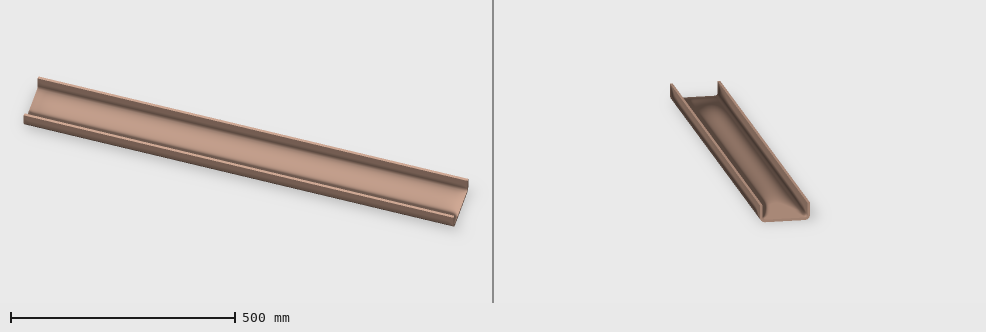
import cadquery as cq

LENGTH = 1000.0
WIDTH = 114.0
HEIGHT = 40.0
THICKNESS = 6.0
INNER_BEND_RADIUS = 6.0
OUTER_BEND_RADIUS = INNER_BEND_RADIUS + THICKNESS


def rounded_bar(width, height, bottom, corner_radius):
    """Bar along X, centred on X and Y, with its two lower long edges rounded."""
    return (
        cq.Workplane("XY")
        .box(LENGTH, width, height, centered=(True, True, False))
        .translate((0, 0, bottom))
        .edges("|X and <Z")
        .fillet(corner_radius)
    )


def channel():
    """U-shaped channel, open at the top, with concentric bends at the web."""
    outside = rounded_bar(WIDTH, HEIGHT, 0, OUTER_BEND_RADIUS)
    inside = rounded_bar(
        WIDTH - 2 * THICKNESS, HEIGHT - THICKNESS, THICKNESS, INNER_BEND_RADIUS
    )
    return outside.cut(inside)


result = channel()